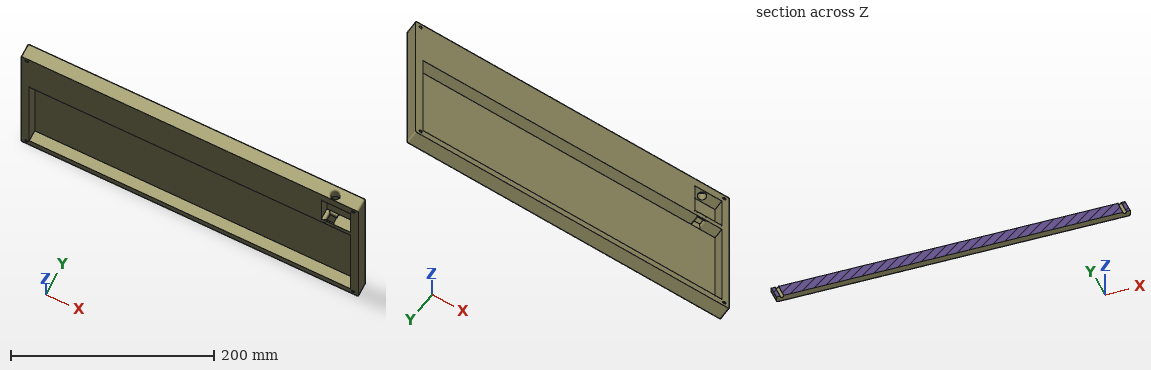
import cadquery as cq

WIDTH = 372.52
HEIGHT = 200.0
THICKNESS = 15.11
CORNER_RADIUS = 2.0

SCREW_DIAMETER = 3.4
SCREW_INSET = 6.0

FLOOR = 3.0
SIDE_WALL = 9.0
BOTTOM_WALL = 9.6
LARGE_POCKET_HEIGHT = 126.4
DIVIDER = 7.0
SMALL_POCKET_WIDTH = 32.0
SMALL_POCKET_HEIGHT = 44.0

POCKET_DEPTH = THICKNESS - FLOOR
POCKET_RIGHT = WIDTH / 2 - SIDE_WALL
LARGE_POCKET_BOTTOM = BOTTOM_WALL - HEIGHT / 2
DIVIDER_BOTTOM = LARGE_POCKET_BOTTOM + LARGE_POCKET_HEIGHT
DIVIDER_TOP = DIVIDER_BOTTOM + DIVIDER
SMALL_POCKET_LEFT = POCKET_RIGHT - SMALL_POCKET_WIDTH
SMALL_POCKET_TOP = DIVIDER_TOP + SMALL_POCKET_HEIGHT

MOUTH_RADIUS = 2.0

ENTRY_DIAMETER = 9.0
ENTRY_X = SMALL_POCKET_LEFT + 12.5
ENTRY_Y = POCKET_DEPTH / 2

SLOT_WIDTH = 8.0
SLOT_LENGTH = 8.0
SLOT_LEFT = ENTRY_X - SLOT_WIDTH
SLOT_FRONT = (POCKET_DEPTH - SLOT_LENGTH) / 2


def corner_box(x, y, z, width, depth, height):
    """Box with its lowest X, Y and Z corner at the given point."""
    return cq.Workplane("XY").box(width, depth, height, centered=False).translate((x, y, z))


def plate():
    """Plain plate with its four corners rounded."""
    blank = corner_box(-WIDTH / 2, 0, -HEIGHT / 2, WIDTH, THICKNESS, HEIGHT)
    return blank.edges("|Y").fillet(CORNER_RADIUS)


def screw_holes():
    """Four pins, one in each corner, running through the plate thickness."""
    return (
        cq.Workplane("XZ")
        .rect(WIDTH - 2 * SCREW_INSET, HEIGHT - 2 * SCREW_INSET, forConstruction=True)
        .vertices()
        .circle(SCREW_DIAMETER / 2)
        .extrude(-THICKNESS)
    )


def large_pocket():
    return corner_box(
        -POCKET_RIGHT, 0, LARGE_POCKET_BOTTOM, 2 * POCKET_RIGHT, POCKET_DEPTH, LARGE_POCKET_HEIGHT
    )


def small_pocket():
    return corner_box(
        SMALL_POCKET_LEFT, 0, DIVIDER_TOP, SMALL_POCKET_WIDTH, POCKET_DEPTH, SMALL_POCKET_HEIGHT
    )


def entry_hole():
    """Vertical bore whose upper mouth flares outward along a quarter circle."""
    top = HEIGHT / 2
    bore_radius = ENTRY_DIAMETER / 2
    arc_inset = MOUTH_RADIUS * (1 - 0.5 ** 0.5)
    profile = (
        cq.Workplane("XZ")
        .moveTo(0, SMALL_POCKET_TOP)
        .lineTo(bore_radius, SMALL_POCKET_TOP)
        .lineTo(bore_radius, top - MOUTH_RADIUS)
        .threePointArc((bore_radius + arc_inset, top - arc_inset), (bore_radius + MOUTH_RADIUS, top))
        .lineTo(0, top)
        .close()
    )
    return profile.revolve(360, (0, 0, 0), (0, 1, 0)).translate((ENTRY_X, ENTRY_Y, 0))


def divider_slot():
    """Slot-shaped volume that flares outward at its upper and lower mouths."""
    divider = corner_box(
        SMALL_POCKET_LEFT, 0, DIVIDER_BOTTOM, SMALL_POCKET_WIDTH, POCKET_DEPTH, DIVIDER
    )
    slot = corner_box(SLOT_LEFT, SLOT_FRONT, DIVIDER_BOTTOM, SLOT_WIDTH, SLOT_LENGTH, DIVIDER)
    slotted = divider.cut(slot)
    mouth_edges = [
        edge
        for face in slotted.faces("<Z or >Z").vals()
        for mouth in face.innerWires()
        for edge in mouth.Edges()
    ]
    rounded = slotted.newObject(mouth_edges).fillet(MOUTH_RADIUS)
    return divider.cut(rounded)


result = (
    plate()
    .cut(screw_holes())
    .cut(large_pocket())
    .cut(small_pocket())
    .cut(entry_hole())
    .cut(divider_slot())
)